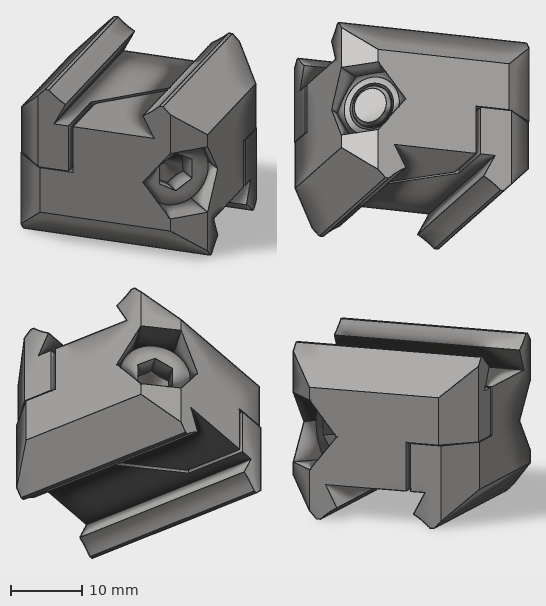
import cadquery as cq
import math


WIDTH = 28.0
HEIGHT = 24.0
HALF_WIDTH = WIDTH / 2
HALF_HEIGHT = HEIGHT / 2
CORNER_CHAMFER = 4.07
SEAM_CORNER_CHAMFER = 4.4

JAW_SLOPE = 5.15
FLOOR_HEIGHT = 6.95
FLOOR_HALF_WIDTH = 7.5
LIP_HALF_WIDTH = 5.8
LIP_HEIGHT = 10.16
SADDLE_RADIUS = 12.0

SLIT_WIDTH = 0.7
SLIT_CORNER = 5.0
SEAM_GAP = 0.1

THREAD_DIAMETER = 6.0
SHANK_LENGTH = 20.0
TIP_CHAMFER = 0.5
HEAD_DIAMETER = 10.0
HEAD_LENGTH = 6.0
HEAD_SEAT = 6.5
SOCKET_ACROSS_FLATS = 5.0
SOCKET_DEPTH = 3.0
NUT_ACROSS_FLATS = 10.0
NUT_THICKNESS = 5.0
NUT_SEAT = 8.0
NUT_FACE_RADIUS = 4.3
NUT_COUNTERSINK = 0.38
CONE_SLOPE = math.tan(math.radians(30))

SCREW_DIRECTION = cq.Vector(1, -1, 0).normalized()
ACROSS_DIRECTION = (1, 1, 0)
UP = (0, 0, 1)


def corner_radius(across_flats):
    return across_flats / math.sqrt(3)


def station(distance, x_direction=ACROSS_DIRECTION):
    """Workplane square to the screw axis, facing the screw head."""
    return cq.Workplane(cq.Plane(SCREW_DIRECTION * distance, x_direction, SCREW_DIRECTION))


def flip(body):
    """Half turn about the horizontal diagonal X = Y; swaps the top and bottom of the clamp."""
    return body.rotate((0, 0, 0), ACROSS_DIRECTION, 180)



def upper_plan():
    """Upper half of the block, with its chamfered corners."""
    edge = HALF_WIDTH
    short = HALF_WIDTH - CORNER_CHAMFER
    seam = HALF_WIDTH - SEAM_CORNER_CHAMFER
    side = [(-short, -edge), (short, -edge), (edge, -short), (edge, seam)]
    opposite_side = [(-x, -y) for x, y in side]
    return cq.Workplane("XY").polyline(side + opposite_side).close().extrude(HALF_HEIGHT)


def jaw_profile():
    """Section of the jaws and groove floor, running the full length along Y."""
    saddle_centre = LIP_HEIGHT + math.sqrt(SADDLE_RADIUS**2 - LIP_HALF_WIDTH**2)
    tip_inner = math.sqrt(SADDLE_RADIUS**2 - (saddle_centre - HALF_HEIGHT)**2)
    tip_outer = HALF_WIDTH - JAW_SLOPE
    arc_middle_x = (tip_inner + LIP_HALF_WIDTH) / 2
    arc_middle_z = saddle_centre - math.sqrt(SADDLE_RADIUS**2 - arc_middle_x**2)
    shoulder = HALF_HEIGHT - JAW_SLOPE
    return (
        cq.Workplane("XZ")
        .moveTo(-HALF_WIDTH, 0)
        .lineTo(HALF_WIDTH, 0)
        .lineTo(HALF_WIDTH, shoulder)
        .lineTo(tip_outer, HALF_HEIGHT)
        .lineTo(tip_inner, HALF_HEIGHT)
        .threePointArc((arc_middle_x, arc_middle_z), (LIP_HALF_WIDTH, LIP_HEIGHT))
        .lineTo(FLOOR_HALF_WIDTH, FLOOR_HEIGHT)
        .lineTo(-FLOOR_HALF_WIDTH, FLOOR_HEIGHT)
        .lineTo(-LIP_HALF_WIDTH, LIP_HEIGHT)
        .threePointArc((-arc_middle_x, arc_middle_z), (-tip_inner, HALF_HEIGHT))
        .lineTo(-tip_outer, HALF_HEIGHT)
        .lineTo(-HALF_WIDTH, shoulder)
        .close()
        .extrude(HALF_WIDTH, both=True)
    )


def slit():
    """Z-shaped slit through the upper half: along Y, across the diagonal, along Y again."""
    half = SLIT_WIDTH / 2
    diagonal_shift = half * math.sqrt(2)
    start = -SLIT_CORNER - half
    end = SLIT_CORNER - half
    wall = [
        (start, -HALF_WIDTH),
        (start, start + diagonal_shift),
        (end, end + diagonal_shift),
        (end, HALF_WIDTH),
    ]
    opposite_wall = [(-x, -y) for x, y in wall]
    return cq.Workplane("XY").polyline(wall + opposite_wall).close().extrude(HALF_HEIGHT)


def seam_gaps():
    """Thin horizontal gaps at the two corners where the halves overlap."""
    size = HALF_WIDTH - SLIT_CORNER + SLIT_WIDTH / 2
    centre = HALF_WIDTH - size / 2
    corners = [(-centre, -centre), (centre, centre)]
    return cq.Workplane("XY").pushPoints(corners).box(size, size, SEAM_GAP)


def hex_pocket(seat):
    """Hexagonal pocket from a seat on the screw axis out through the corner of the block."""
    return (
        station(seat)
        .polygon(6, 2 * corner_radius(NUT_ACROSS_FLATS))
        .extrude(math.copysign(HALF_WIDTH, seat))
    )


def clamp_halves():
    upper = upper_plan().intersect(jaw_profile()).cut(slit())
    screw_hole = station(-NUT_SEAT).circle(THREAD_DIAMETER / 2).extrude(NUT_SEAT + HEAD_SEAT)
    return (
        upper.union(flip(upper))
        .cut(seam_gaps())
        .cut(hex_pocket(HEAD_SEAT))
        .cut(hex_pocket(-NUT_SEAT))
        .cut(screw_hole)
    )



def hex_socket():
    """Hexagonal key socket with a conical drill-point floor."""
    radius = corner_radius(SOCKET_ACROSS_FLATS)
    point_depth = radius * CONE_SLOPE
    head_face = HEAD_SEAT + HEAD_LENGTH
    prism = station(head_face, UP).polygon(6, 2 * radius).extrude(-SOCKET_DEPTH - point_depth)
    bore = station(head_face).circle(radius).extrude(-SOCKET_DEPTH)
    floor = head_face - SOCKET_DEPTH
    point = cq.Solid.makeCone(
        radius, 0, point_depth, SCREW_DIRECTION * floor, SCREW_DIRECTION * -1
    )
    return prism.intersect(bore.union(cq.Workplane(point)))


def socket_screw():
    head = station(HEAD_SEAT).circle(HEAD_DIAMETER / 2).extrude(HEAD_LENGTH)
    shank = (
        station(HEAD_SEAT - SHANK_LENGTH)
        .circle(THREAD_DIAMETER / 2)
        .extrude(SHANK_LENGTH)
        .edges(cq.selectors.DirectionMinMaxSelector(SCREW_DIRECTION, False))
        .chamfer(TIP_CHAMFER)
    )
    return head.union(shank).cut(hex_socket())



def hex_nut():
    outer_face = -NUT_SEAT - NUT_THICKNESS
    base_radius = NUT_FACE_RADIUS + NUT_THICKNESS / CONE_SLOPE
    prism = station(outer_face).polygon(6, 2 * corner_radius(NUT_ACROSS_FLATS)).extrude(NUT_THICKNESS)
    corner_cone = cq.Solid.makeCone(
        NUT_FACE_RADIUS, base_radius, NUT_THICKNESS, SCREW_DIRECTION * outer_face, SCREW_DIRECTION
    )
    thread = station(outer_face).circle(THREAD_DIAMETER / 2).extrude(NUT_THICKNESS)
    countersink = cq.Solid.makeCone(
        THREAD_DIAMETER / 2 + NUT_COUNTERSINK,
        THREAD_DIAMETER / 2,
        NUT_COUNTERSINK,
        SCREW_DIRECTION * outer_face,
        SCREW_DIRECTION,
    )
    return prism.intersect(cq.Workplane(corner_cone)).cut(thread).cut(cq.Workplane(countersink))


halves = clamp_halves().solids()
screw = socket_screw()
nut = hex_nut()

result = cq.Compound.makeCompound([*halves.vals(), screw.val(), nut.val()])